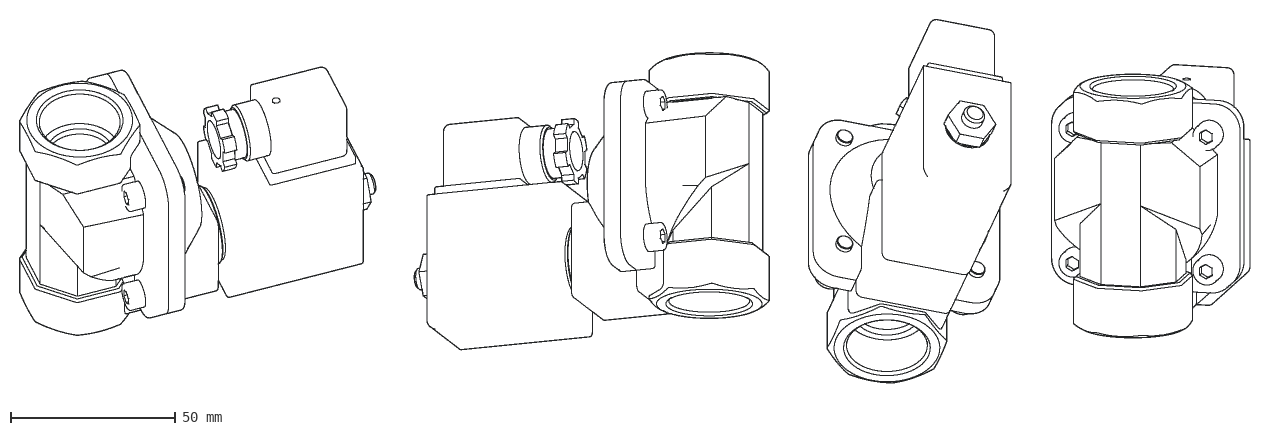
import cadquery as cq
import math


body_length = 75.0
port_across_flats = 34.0
top_port_length = 14.3
bottom_port_length = 16.0
port_step = 0.8
port_corner_radius = 1.0
port_face_diameter = 32.3
pipe_across_flats = 30.2
bore_diameter = 24.6
bore_depth = 13.4
bore_chamfer = 0.9
seat_diameter = 20.0
seat_depth = 2.2

chamber_half_width = 22.8
chamber_root_half_width = 23.4
chamber_radius = 23.9
chamber_edge_y = -7.0
chamber_shoulder_height = 15.2
chamber_cut_height = -11.3

flange_width = 58.0
flange_radius = 8.0
flange_edge_radius = 1.0
flange_front_y = 12.2
joint_y = 18.3
flange_back_y = 24.0
screw_spacing = flange_width - 2 * flange_radius

cone_end_y = 34.0
cone_end_radius = 15.3
cone_base_radius = cone_end_radius + cone_end_y - flange_back_y

solenoid_x = 0.7
solenoid_z = -20.3
seat_block_x = 0.3
seat_block_width = 30.0
seat_block_front_y = 9.1
seat_block_end_y = 39.6
seat_block_corner_radius = 2.0
seat_block_edge_radius = 0.9

screw_diameter = 5.0
screw_end_y = 25.6
screw_end_chamfer = 0.2
head_diameter = 8.5
head_length = 4.8
head_edge_radius = 0.5
socket_across_flats = 3.9
socket_depth = 2.2

stem_flange_diameter = 24.6
stem_flange_end_y = 41.9
stem_flange_chamfer = 0.3
stem_collar_diameter = 22.8
stem_rod_diameter = 6.6
stem_tip_y = 112 - port_across_flats / 2
stem_tip_chamfer = 0.8
washer_diameter = 14.0
washer_thickness = 0.6
nut_diameter = 15.2
nut_end_y = 91.6

coil_width = 28.0
coil_front_y = 42.9
coil_back_y = 86.7
coil_bottom_z = -40.3
coil_top_z = 2.1
coil_bottom_radius = 2.2
coil_edge_radius = 0.7

pad_width = 23.9
pad_front_y = 57.2
pad_back_y = 85.1
pad_top_z = 5.0
pad_edge_radius = 0.7
plug_width = 20.7
plug_front_y = 58.7
plug_back_y = 83.3
plug_top_z = 25.3
plug_edge_radius = 2.2
plug_front_edge_radius = 0.7
plug_hole_diameter = 2.4
plug_hole_y = 63.5
plug_hole_depth = 2.2

gland_z = 15.3
collar_diameter = 17.6
collar_end_y = 51.3
collar_chamfer = 0.7
neck_diameter = 15.2
knob_start_y = 47.3
knob_end_y = 43.3
knob_diameter = 20.0
knob_across_flats = 15.9
knob_lobes = 6
knob_lobe_width = 4.4
gland_bore_diameter = 12.0
gland_bore_depth = 11.2


def box(x_range, y_range, z_range):
    """Box between the given limits along each axis."""
    ranges = (x_range, y_range, z_range)
    size = [high - low for low, high in ranges]
    corner = cq.Vector(*[low for low, high in ranges])
    return cq.Workplane(cq.Solid.makeBox(*size, pnt=corner))


def centred(middle, width):
    return (middle - width / 2, middle + width / 2)


def rod(diameter, x, z, start_y, end_y):
    """Cylinder along Y."""
    plane = cq.Plane(origin=(x, start_y, z), xDir=(1, 0, 0), normal=(0, 1, 0))
    return cq.Workplane(plane).circle(diameter / 2).extrude(end_y - start_y)


def octagon(across_flats, bottom_z, top_z):
    """Octagonal prism along Z with flats facing X and Y."""
    across_corners = across_flats / math.cos(math.pi / 8)
    prism = cq.Workplane("XY").workplane(offset=bottom_z).polygon(8, across_corners).extrude(top_z - bottom_z)
    return prism.rotate((0, 0, 0), (0, 0, 1), 180 / 8)


def port(length):
    """Port with its open face at Z = 0 and its body below; the bevel leads down to the pipe."""
    blank = octagon(port_across_flats, -length, 0).edges("|Z").fillet(port_corner_radius)
    blank = blank.faces("<Z").chamfer(port_step)
    drop = length / 2
    outer_radius = port_face_diameter / 2 + drop / math.tan(math.radians(30))
    envelope = (
        cq.Workplane("XZ")
        .polyline([
            (0, 0),
            (port_face_diameter / 2, 0),
            (outer_radius, -drop),
            (outer_radius, -length),
            (0, -length),
        ])
        .close()
        .revolve(360, (0, 0), (0, 1))
    )
    return blank.intersect(envelope)


def port_bore():
    """Tool for the stepped bore below an open face at Z = 0."""
    bore_radius = bore_diameter / 2
    return (
        cq.Workplane("XZ")
        .polyline([
            (0, 0),
            (bore_radius + bore_chamfer, 0),
            (bore_radius, -bore_chamfer),
            (bore_radius, -bore_depth),
            (seat_diameter / 2, -bore_depth),
            (seat_diameter / 2, -bore_depth - seat_depth),
            (0, -bore_depth - seat_depth),
        ])
        .close()
        .revolve(360, (0, 0), (0, 1))
    )


def at_both_ends(top_shape, bottom_shape):
    """Moves one shape to the top face and the other, upside down, to the bottom face."""
    top = top_shape.translate((0, 0, body_length / 2))
    bottom = bottom_shape.rotate((0, 0, 0), (1, 0, 0), 180).translate((0, 0, -body_length / 2))
    return top, bottom


def chamber():
    """Block from the pipe to the flange: bevelled top, round lower half and 45 degree underside."""
    pipe_front_y = -pipe_across_flats / 2
    pipe_flat_half = pipe_across_flats / 2 * math.tan(math.pi / 8)
    section = [
        (chamber_root_half_width, flange_front_y),
        (chamber_half_width, chamber_edge_y),
        (pipe_flat_half, pipe_front_y),
    ]
    section += [(-x, y) for x, y in reversed(section)]
    depth = 2 * flange_width
    block = cq.Workplane("XY").polyline(section).close().extrude(depth, both=True)

    top_z = body_length / 2 - top_port_length
    top_half_width = chamber_half_width - (top_z - chamber_shoulder_height)
    low_edge_z = -math.sqrt(chamber_radius**2 - chamber_root_half_width**2)
    profile = (
        cq.Workplane("XZ")
        .moveTo(-top_half_width, top_z)
        .lineTo(top_half_width, top_z)
        .lineTo(chamber_root_half_width, chamber_shoulder_height - chamber_root_half_width + chamber_half_width)
        .lineTo(chamber_root_half_width, low_edge_z)
        .threePointArc((0, -chamber_radius), (-chamber_root_half_width, low_edge_z))
        .lineTo(-chamber_root_half_width, chamber_shoulder_height - chamber_root_half_width + chamber_half_width)
        .close()
        .extrude(depth, both=True)
    )
    above_cut = (
        cq.Workplane("YZ")
        .polyline([
            (-depth, chamber_cut_height + depth),
            (depth, chamber_cut_height - depth),
            (depth, chamber_cut_height + depth),
        ])
        .close()
        .extrude(depth, both=True)
    )
    return block.intersect(profile).intersect(above_cut)


def flange(start_y, end_y, outer_face):
    """Square flange plate; the edge of its outer face is rounded."""
    plate = box(centred(0, flange_width), (start_y, end_y), centred(0, flange_width))
    plate = plate.edges("|Y").fillet(flange_radius)
    return plate.faces(outer_face).edges().fillet(flange_edge_radius)


def seat_block():
    """Square block that carries the solenoid, over its full length."""
    block = box(
        centred(seat_block_x, seat_block_width),
        (seat_block_front_y, seat_block_end_y),
        centred(solenoid_z, seat_block_width),
    )
    block = block.edges("|Y").fillet(seat_block_corner_radius)
    block = block.faces(">Y").edges().fillet(seat_block_edge_radius)
    return block.faces("<Y").edges().fillet(seat_block_edge_radius)


def before_joint(shape):
    span = 4 * flange_width
    return shape.intersect(box(centred(0, span), (joint_y - span, joint_y), centred(0, span)))


def behind_joint(shape):
    span = 4 * flange_width
    return shape.intersect(box(centred(0, span), (joint_y, joint_y + span), centred(0, span)))


def screw_places():
    half = screw_spacing / 2
    return [(x, z) for x in (-half, half) for z in (-half, half)]


def drill_screw_holes(shape):
    for x, z in screw_places():
        shape = shape.cut(rod(screw_diameter, x, z, flange_front_y - head_length, screw_end_y))
    return shape


def make_valve_body():
    shape = octagon(pipe_across_flats, -body_length / 2 + port_step, body_length / 2 - port_step)
    for end in at_both_ends(port(top_port_length), port(bottom_port_length)):
        shape = shape.union(end)
    shape = shape.union(chamber())
    shape = shape.union(flange(flange_front_y, joint_y, "<Y"))
    shape = shape.union(before_joint(seat_block()))
    for bore in at_both_ends(port_bore(), port_bore()):
        shape = shape.cut(bore)
    return drill_screw_holes(shape)


def make_bonnet():
    cone = cq.Workplane(
        cq.Solid.makeCone(
            cone_base_radius,
            cone_end_radius,
            cone_end_y - flange_back_y,
            pnt=cq.Vector(0, flange_back_y, 0),
            dir=cq.Vector(0, 1, 0),
        )
    )
    shape = flange(joint_y, flange_back_y, ">Y").union(cone).union(behind_joint(seat_block()))
    return drill_screw_holes(shape)


def make_screw(x, z):
    """Socket head screw from the body side, its end standing out of the bonnet flange."""
    head_y = flange_front_y - head_length
    head = rod(head_diameter, x, z, head_y, flange_front_y).faces("<Y").edges().fillet(head_edge_radius)
    shank = rod(screw_diameter, x, z, flange_front_y, screw_end_y).faces(">Y").chamfer(screw_end_chamfer)
    corner_radius = socket_across_flats / 2 / math.cos(math.pi / 6)
    cone_length = corner_radius / 2
    plane = cq.Plane(origin=(x, head_y, z), xDir=(0, 0, 1), normal=(0, 1, 0))
    hexagon = cq.Workplane(plane).polygon(6, 2 * corner_radius).extrude(socket_depth + cone_length)
    point = rod(2 * corner_radius, x, z, head_y, head_y + socket_depth).union(
        cq.Workplane(
            cq.Solid.makeCone(
                corner_radius,
                0,
                cone_length,
                pnt=cq.Vector(x, head_y + socket_depth, z),
                dir=cq.Vector(0, 1, 0),
            )
        )
    )
    return head.union(shank).cut(hexagon.intersect(point))


def make_stem():
    """Flanged stem with its rod through the coil and the nut that holds the coil."""
    def turned(diameter, start_y, end_y):
        return rod(diameter, solenoid_x, solenoid_z, start_y, end_y)

    base = turned(stem_flange_diameter, seat_block_end_y, stem_flange_end_y).faces(">Y").chamfer(stem_flange_chamfer)
    collar = turned(stem_collar_diameter, stem_flange_end_y, coil_front_y)
    core = turned(stem_rod_diameter, coil_front_y, stem_tip_y).faces(">Y").chamfer(stem_tip_chamfer)
    washer = turned(washer_diameter, coil_back_y, coil_back_y + washer_thickness)
    nut_start_y = coil_back_y + washer_thickness
    plane = cq.Plane(origin=(solenoid_x, nut_start_y, solenoid_z), xDir=(1, 0, 0), normal=(0, 1, 0))
    nut = cq.Workplane(plane).polygon(6, nut_diameter).extrude(nut_end_y - nut_start_y)
    return base.union(collar).union(core).union(washer).union(nut)


def plug():
    """Connector housing on its pad."""
    pad = box(centred(solenoid_x, pad_width), (pad_front_y, pad_back_y), (coil_top_z, pad_top_z))
    pad = pad.edges("|Z or >Z").fillet(pad_edge_radius)
    housing = box(centred(solenoid_x, plug_width), (plug_front_y, plug_back_y), (pad_top_z, plug_top_z))
    housing = housing.edges("(|Z and >Y) or (>Z and (not <Y))").fillet(plug_edge_radius)
    housing = housing.faces("<Y").edges("not <Z").fillet(plug_front_edge_radius)
    hole = (
        cq.Workplane("XY", origin=(solenoid_x, plug_hole_y, plug_top_z))
        .circle(plug_hole_diameter / 2)
        .extrude(-plug_hole_depth)
    )
    return pad.union(housing.cut(hole))


def gland_knob():
    """Clamping knob: hexagonal core with a lobe over each corner."""
    length = knob_start_y - knob_end_y
    plane = cq.Plane(origin=(solenoid_x, knob_end_y, gland_z), xDir=(0, 0, 1), normal=(0, 1, 0))
    knob = cq.Workplane(plane).polygon(knob_lobes, knob_across_flats / math.cos(math.pi / knob_lobes)).extrude(length)
    for index in range(knob_lobes // 2):
        bar = box(
            centred(solenoid_x, knob_lobe_width),
            (knob_end_y, knob_start_y),
            centred(gland_z, 2 * knob_diameter),
        )
        axis_start = (solenoid_x, 0, gland_z)
        axis_end = (solenoid_x, 1, gland_z)
        knob = knob.union(bar.rotate(axis_start, axis_end, index * 360 / knob_lobes))
    return knob.intersect(rod(knob_diameter, solenoid_x, gland_z, knob_end_y, knob_start_y))


def make_coil():
    """Coil block with the plug and its cable gland."""
    shape = box(centred(solenoid_x, coil_width), (coil_front_y, coil_back_y), (coil_bottom_z, coil_top_z))
    shape = shape.edges("<Z and (not <Y)").fillet(coil_bottom_radius)
    shape = shape.edges(">Z or (<Y and (not <Z))").fillet(coil_edge_radius)
    shape = shape.union(plug())
    collar = rod(collar_diameter, solenoid_x, gland_z, collar_end_y, plug_front_y).faces("<Y").chamfer(collar_chamfer)
    neck = rod(neck_diameter, solenoid_x, gland_z, knob_start_y, collar_end_y)
    shape = shape.union(collar).union(neck).union(gland_knob())
    shape = shape.cut(rod(gland_bore_diameter, solenoid_x, gland_z, knob_end_y, knob_end_y + gland_bore_depth))
    return shape.cut(rod(stem_rod_diameter, solenoid_x, solenoid_z, coil_front_y, coil_back_y))


valve_body = make_valve_body()
bonnet = make_bonnet()
screws = [make_screw(x, z) for x, z in screw_places()]
stem = make_stem()
coil = make_coil()

result = cq.Compound.makeCompound([
    valve_body.val(),
    bonnet.val(),
    *[screw.val() for screw in screws],
    stem.val(),
    coil.val(),
])